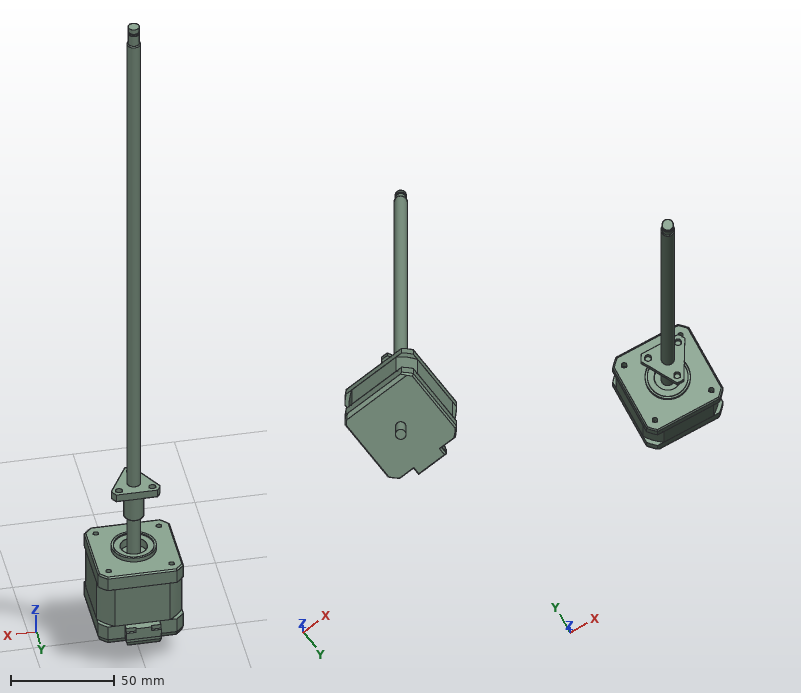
import cadquery as cq
import math

OVERALL_HEIGHT = 365.5
MOTOR_BOTTOM = 11.7
REAR_CAP_TOP = 21.5
STACK_TOP = 43.5
FRONT_CAP_TOP = 51.2
PILOT_TOP = 53.5
NUT_BOTTOM = 71.0
FLANGE_BOTTOM = 86.5
NUT_TOP = 90.5
SCREW_TOP = 355.8

MOTOR_WIDTH = 42.0
CAP_CORNER_DIAMETER = 54.0
STACK_CORNER_DIAMETER = 50.0
FRONT_EDGE_CHAMFER = 0.7
REAR_EDGE_CHAMFER_HEIGHT = 2.2
REAR_EDGE_CHAMFER_INSET = 0.7

MOUNT_HOLE_PITCH = 31.0
MOUNT_HOLE_DIAMETER = 2.5
PILOT_DIAMETER = 22.0
PILOT_RECESS_DIAMETER = 19.7
PILOT_RECESS_DEPTH = 0.7
BEARING_BORE_DIAMETER = 13.0
BEARING_BORE_BOTTOM = 48.3
POCKET_COUNT = 8
POCKET_INNER_RADIUS = 14.0
POCKET_RADIAL_LENGTH = 2.2
POCKET_WIDTH = 5.5
POCKET_ROOF_THICKNESS = 1.0

CONNECTOR_WIDTH = 17.2
CONNECTOR_REACH = 4.0
TONGUE_TOP = 15.5
NOTCH_WIDTH = 4.8
NOTCH_DEPTH = 1.0
NOTCH_HEIGHT = 2.2

SCREW_DIAMETER = 6.5
SHAFT_DIAMETER = 5.0
JOURNAL_DIAMETER = 5.5
SCREW_END_CHAMFER = (SCREW_DIAMETER - JOURNAL_DIAMETER) / 2
RING_GROOVE_BOTTOM = 361.5
RING_GROOVE_WIDTH = 1.0
RING_GROOVE_DIAMETER = 4.8

SLEEVE_DIAMETER = 10.0
SLEEVE_CHAMFER = 0.7
FLANGE_DIAMETER = 26.0
FLANGE_FLAT_DISTANCE = 8.0
NUT_HOLE_COUNT = 3
NUT_HOLE_CIRCLE_RADIUS = 9.5
NUT_HOLE_DIAMETER = 3.3


def cylinder(diameter, bottom, top):
    return cq.Workplane("XY").workplane(offset=bottom).circle(diameter / 2).extrude(top - bottom)


def motor_block(corner_diameter, bottom, top):
    """Square block whose four corners are arcs about the motor axis."""
    block = (
        cq.Workplane("XY")
        .workplane(offset=bottom)
        .rect(MOTOR_WIDTH, MOTOR_WIDTH)
        .extrude(top - bottom)
    )
    return block.intersect(cylinder(corner_diameter, bottom, top))


def connector_block(bottom, top):
    """Block on the +Y side of the motor, as wide as the connector."""
    return (
        cq.Workplane("XY")
        .workplane(offset=bottom)
        .center(0, (MOTOR_WIDTH + CONNECTOR_REACH) / 2)
        .rect(CONNECTOR_WIDTH, CONNECTOR_REACH)
        .extrude(top - bottom)
    )


def make_rear_cap():
    tongue = connector_block(MOTOR_BOTTOM, TONGUE_TOP)
    cap = motor_block(CAP_CORNER_DIAMETER, MOTOR_BOTTOM, REAR_CAP_TOP).union(tongue)
    cap = cap.faces("<Z").chamfer(REAR_EDGE_CHAMFER_INSET, REAR_EDGE_CHAMFER_HEIGHT)
    return cap.cut(cylinder(SHAFT_DIAMETER, MOTOR_BOTTOM, REAR_CAP_TOP))


def make_stack():
    stack = motor_block(STACK_CORNER_DIAMETER, REAR_CAP_TOP, STACK_TOP)
    return stack.cut(cylinder(SCREW_DIAMETER, REAR_CAP_TOP, STACK_TOP))


def make_mount_holes():
    return (
        cq.Workplane("XY")
        .workplane(offset=STACK_TOP)
        .rect(MOUNT_HOLE_PITCH, MOUNT_HOLE_PITCH, forConstruction=True)
        .vertices()
        .circle(MOUNT_HOLE_DIAMETER / 2)
        .extrude(FRONT_CAP_TOP - STACK_TOP)
    )


def make_underside_pockets():
    """Ring of blind pockets, open towards the stack and closed by a thin roof."""
    return (
        cq.Workplane("XY")
        .workplane(offset=STACK_TOP)
        .polarArray(POCKET_INNER_RADIUS + POCKET_RADIAL_LENGTH / 2, 0, 360, POCKET_COUNT)
        .rect(POCKET_RADIAL_LENGTH, POCKET_WIDTH)
        .extrude(FRONT_CAP_TOP - POCKET_ROOF_THICKNESS - STACK_TOP)
    )


def make_front_cap():
    cap = motor_block(CAP_CORNER_DIAMETER, STACK_TOP, FRONT_CAP_TOP)
    cap = cap.faces(">Z").chamfer(FRONT_EDGE_CHAMFER)
    cap = cap.union(cylinder(PILOT_DIAMETER, FRONT_CAP_TOP, PILOT_TOP))
    cap = cap.cut(cylinder(PILOT_RECESS_DIAMETER, PILOT_TOP - PILOT_RECESS_DEPTH, PILOT_TOP))
    cap = cap.cut(cylinder(BEARING_BORE_DIAMETER, BEARING_BORE_BOTTOM, PILOT_TOP))
    cap = cap.cut(cylinder(SCREW_DIAMETER, STACK_TOP, PILOT_TOP))
    return cap.cut(make_mount_holes()).cut(make_underside_pockets())


def make_connector():
    connector = connector_block(TONGUE_TOP, REAR_CAP_TOP)
    notch = cq.Workplane("XY").box(2 * NOTCH_WIDTH, 2 * NOTCH_DEPTH, 2 * NOTCH_HEIGHT)
    outer_face_y = MOTOR_WIDTH / 2 + CONNECTOR_REACH
    for side in (-1, 1):
        corner = (side * CONNECTOR_WIDTH / 2, outer_face_y, REAR_CAP_TOP)
        connector = connector.cut(notch.translate(corner))
    return connector


def make_lead_screw():
    shaft = cylinder(SHAFT_DIAMETER, 0, REAR_CAP_TOP)
    screw = cylinder(SCREW_DIAMETER, REAR_CAP_TOP, SCREW_TOP).faces(">Z").chamfer(SCREW_END_CHAMFER)
    journal = cylinder(JOURNAL_DIAMETER, SCREW_TOP, OVERALL_HEIGHT)
    groove_top = RING_GROOVE_BOTTOM + RING_GROOVE_WIDTH
    groove = cylinder(JOURNAL_DIAMETER, RING_GROOVE_BOTTOM, groove_top)
    groove = groove.cut(cylinder(RING_GROOVE_DIAMETER, RING_GROOVE_BOTTOM, groove_top))
    return shaft.union(screw).union(journal).cut(groove)


def make_nut_holes():
    return (
        cq.Workplane("XY")
        .workplane(offset=FLANGE_BOTTOM)
        .polarArray(NUT_HOLE_CIRCLE_RADIUS, -90, 360, NUT_HOLE_COUNT)
        .circle(NUT_HOLE_DIAMETER / 2)
        .extrude(NUT_TOP - FLANGE_BOTTOM)
    )


def make_nut():
    corner_radius = 2 * FLANGE_FLAT_DISTANCE
    half_side = corner_radius * math.cos(math.radians(30))
    triangle = (
        cq.Workplane("XY")
        .workplane(offset=FLANGE_BOTTOM)
        .moveTo(0, -corner_radius)
        .lineTo(half_side, FLANGE_FLAT_DISTANCE)
        .lineTo(-half_side, FLANGE_FLAT_DISTANCE)
        .close()
        .extrude(NUT_TOP - FLANGE_BOTTOM)
    )
    flange = triangle.intersect(cylinder(FLANGE_DIAMETER, FLANGE_BOTTOM, NUT_TOP))
    sleeve = cylinder(SLEEVE_DIAMETER, NUT_BOTTOM, FLANGE_BOTTOM).faces("<Z").chamfer(SLEEVE_CHAMFER)
    nut = flange.union(sleeve)
    return nut.cut(cylinder(SCREW_DIAMETER, NUT_BOTTOM, NUT_TOP)).cut(make_nut_holes())


rear_cap = make_rear_cap()
stack = make_stack()
front_cap = make_front_cap()
connector = make_connector()
lead_screw = make_lead_screw()
nut = make_nut()

result = cq.Compound.makeCompound(
    [rear_cap.val(), stack.val(), front_cap.val(), connector.val(), lead_screw.val(), nut.val()]
)